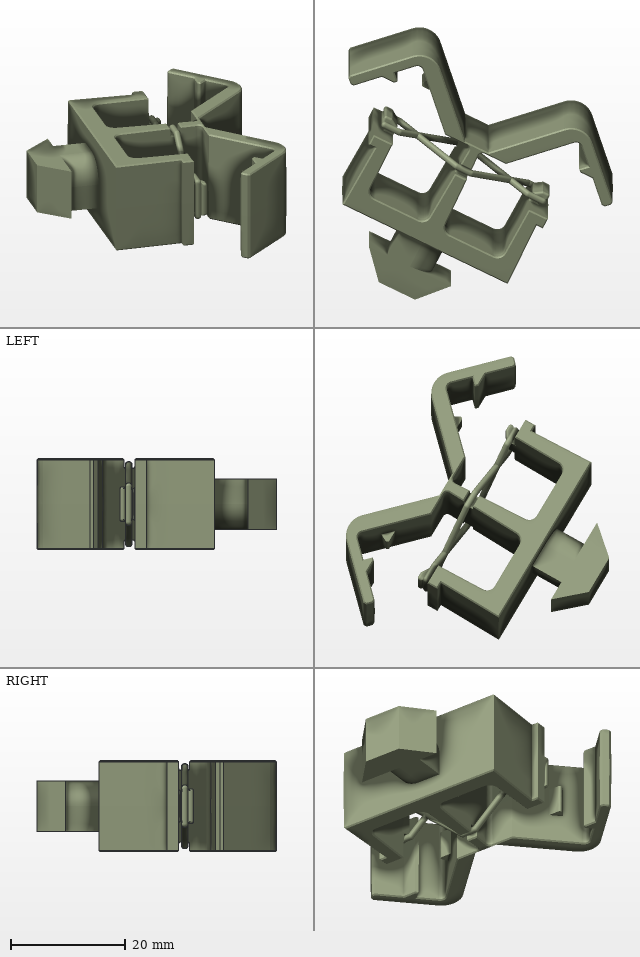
import cadquery as cq
import math

half_width = 25.85
height = 16.0
half_height = height / 2
edge_chamfer = 0.235
draft_angle = 0.3

base_half_width = 16.3
floor_y = 3.5
cup_corner_radius = 1.5
arm_top_y = 13.95
arm_outer_x = 15.95
arm_inner_x = 13.35
arm_inner_foot_x = 13.15
lip_half_width = 17.2
lip_thickness = 2.05
web_foot_x = 1.65
web_head_x = 1.0
web_fillet = 0.8

wing_bottom_y = 19.6
wing_bottom_x = 6.0
valley_y = 20.2
valley_x = 2.3
apex_top_y = 31.2
apex_outer_radius = 3.95
apex_inner_radius = 1.0
leg_thickness = 2.05
leg_end_fall = -4.6
tip_bottom_y = 20.45
tooth_bottom_y = 24.1
tooth_face_fall = 6.8
tooth_bevel = 1.0

nub_half_height = 2.65
nub_root_y = 26.0
nub_tip_x = 13.35
nub_bottom_y = 24.25
nub_radius = 0.4

band_diameter = 1.15
band_y = 15.05
band_edge_radius = 0.5
band_top_y = band_y + band_diameter / 2
neck_half_height = 6.3
notch_top_y = 15.9
notch_fillet = 0.3
hook_stem_x = 15.0
hook_half_height = 2.6
hook_top_y = 16.6
hook_tip_x = 16.25
hook_flat_x = 14.85
hook_flange = 0.45
hook_edge_radius = 0.4
hook_foot_flare = 0.3
hook_foot_thickness = 0.35
band_bend_x = 12.65
band_crown_x = 1.4

stem_radius = 4.45
shoulder_y = -5.85
head_end_y = -10.9
head_half_width = 8.05
head_end_half_width = 3.55


def diagonal_point(fall, rise):
    """Point where the lines x + y = fall and y - x = rise cross."""
    return ((fall - rise) / 2, (fall + rise) / 2)


def mirrored(points):
    """The points reflected in X = 0, in reverse order."""
    return [(-x, y) for x, y in reversed(points)]


def inset_corner(before, corner, after, inset):
    """Corner of a counterclockwise polygon moved inwards by inset from both its sides.

    Also returns the turn: positive at an outward corner, negative at a reentrant one.
    """
    heading_in = (cq.Vector(*corner) - cq.Vector(*before)).normalized()
    heading_out = (cq.Vector(*after) - cq.Vector(*corner)).normalized()
    turn = heading_in.cross(heading_out).z
    moved = cq.Vector(*corner) + (heading_out - heading_in) * (inset / turn)
    return moved, turn


def rounded_section(points, radii, inset=0.0, z=0.0):
    """Closed wire through points, moved inwards by inset, at height z.

    The points run counterclockwise; radii maps the rounded ones to their radius.
    """
    corners = []
    rounded = []
    for before, corner, after in zip(points[-1:] + points[:-1], points, points[1:] + points[:1]):
        moved, turn = inset_corner(before, corner, after, inset)
        corners.append(moved)
        if corner in radii:
            rounded.append((moved, radii[corner] - math.copysign(inset, turn)))
    wire = cq.Wire.makePolygon(corners, close=True)
    for moved, radius in rounded:
        vertex = min(wire.Vertices(), key=lambda v: (cq.Vector(*v.toTuple()) - moved).Length)
        wire = wire.fillet2D(radius, [vertex])
    return wire.translate(cq.Vector(0, 0, z))


wing_inner_fall = wing_bottom_y - wing_bottom_x
wing_outer_fall = valley_y - valley_x
apex_corner_y = apex_top_y + apex_outer_radius * (math.sqrt(2) - 1)
leg_outer_rise = 2 * apex_corner_y - wing_outer_fall
leg_inner_rise = leg_outer_rise - leg_thickness * math.sqrt(2)


def draft_inset(height):
    """How far a drafted side moves inwards from the mid plane up to height."""
    return height * math.tan(math.radians(draft_angle))


def mirrored_loft(sections):
    """Ruled solid through the sections, which start at Z = 0, and its mirror image below."""
    upper = cq.Workplane(cq.Solid.makeLoft(sections, True))
    return upper.union(upper.mirror("XY"))


def plate_outline(base_y):
    """Points of the cup, web and wings, and the radii of the rounded ones."""
    outer_apex = diagonal_point(wing_outer_fall, leg_outer_rise)
    inner_apex = diagonal_point(wing_inner_fall, leg_inner_rise)
    tooth_tip_x = tooth_face_fall - tooth_bottom_y - tooth_bevel
    tooth_corner = diagonal_point(tooth_face_fall, tooth_bottom_y - tooth_tip_x)
    web_head = (-web_head_x, wing_bottom_y)
    web_foot = (-web_foot_x, floor_y)
    arm_foot = (-arm_inner_foot_x, floor_y)
    lip_bottom_y = arm_top_y - lip_thickness
    left = [
        (-valley_x, valley_y),
        outer_apex,
        (-half_width, leg_outer_rise - half_width),
        (-half_width, leg_end_fall + half_width),
        (leg_end_fall - tip_bottom_y, tip_bottom_y),
        (tip_bottom_y - leg_inner_rise, tip_bottom_y),
        (tooth_bottom_y - leg_inner_rise, tooth_bottom_y),
        (tooth_tip_x, tooth_bottom_y),
        tooth_corner,
        diagonal_point(tooth_face_fall, leg_inner_rise),
        inner_apex,
        (-wing_bottom_x, wing_bottom_y),
        web_head,
        web_foot,
        arm_foot,
        (-arm_inner_x, arm_top_y),
        (-lip_half_width, arm_top_y),
        (-lip_half_width, lip_bottom_y),
        (-arm_outer_x, lip_bottom_y),
        (-base_half_width, base_y),
    ]
    left_radii = {
        outer_apex: apex_outer_radius,
        inner_apex: apex_inner_radius,
        web_head: web_fillet,
        web_foot: cup_corner_radius,
        arm_foot: cup_corner_radius,
    }
    right_radii = {(-x, y): radius for (x, y), radius in left_radii.items()}
    return left + mirrored(left), {**left_radii, **right_radii}


def holder_plate():
    """Cup, web and wings: all sides drafted but the mounting face, chamfered at both ends."""
    chamfer_z = half_height - edge_chamfer
    draft = draft_inset(chamfer_z)
    sections = [
        rounded_section(*plate_outline(0)),
        rounded_section(*plate_outline(-draft), draft, chamfer_z),
        rounded_section(*plate_outline(-draft), draft + edge_chamfer, half_height),
    ]
    return mirrored_loft(sections)


def latch_nub():
    """Short ramp on the inner face of the left wing, with its root inside the wing."""
    tip = (-nub_tip_x, nub_bottom_y)
    root_fall = (wing_inner_fall + wing_outer_fall) / 2
    outline = [
        (root_fall - nub_root_y, nub_root_y),
        (wing_inner_fall - nub_root_y, nub_root_y),
        tip,
        (root_fall - nub_bottom_y, nub_bottom_y),
    ]
    radii = {tip: nub_radius}
    inset = draft_inset(nub_half_height)
    return mirrored_loft([
        rounded_section(outline, radii),
        rounded_section(outline, radii, inset, nub_half_height),
    ])


def band_hook():
    """Stem on top of the left arm with a head that points outwards over the band."""
    stem_root_y = arm_top_y - lip_thickness / 2
    stem = (
        cq.Workplane("XY")
        .polyline([
            (-arm_inner_x, stem_root_y),
            (-arm_inner_x, band_top_y),
            (-hook_stem_x, band_top_y),
            (-hook_stem_x, stem_root_y),
        ])
        .close()
        .extrude(hook_half_height, both=True)
    )
    head = (
        cq.Workplane("XY")
        .polyline([
            (-arm_inner_x, band_top_y),
            (-hook_flat_x, hook_top_y),
            (-hook_tip_x, hook_top_y),
            (-hook_tip_x, band_top_y),
        ])
        .close()
        .extrude(hook_half_height + hook_flange, both=True)
        .edges("<X or ((>Z or <Z) exc <Y)").fillet(hook_edge_radius)
    )
    foot_length = hook_stem_x - arm_inner_x + hook_foot_flare
    foot_height = 2 * (hook_half_height + hook_foot_flare)
    foot_centre = (-arm_inner_x - foot_length / 2, arm_top_y + hook_foot_thickness / 2, 0)
    foot = (
        cq.Workplane("XY", origin=foot_centre)
        .box(foot_length, hook_foot_thickness, foot_height)
        .edges(">Y and (<X or |X)").chamfer(hook_foot_flare)
    )
    return stem.union(head).union(foot)


def band_notch():
    """Cutter that leaves the web lower where the band wraps around it."""
    rim_z = half_height - edge_chamfer
    profile = rounded_section(
        [
            (arm_top_y - edge_chamfer, half_height),
            (arm_top_y, rim_z),
            (arm_top_y, neck_half_height),
            (notch_top_y, neck_half_height),
            (notch_top_y, rim_z),
            (notch_top_y + edge_chamfer, half_height),
        ],
        {
            (arm_top_y, neck_half_height): notch_fillet,
            (notch_top_y, neck_half_height): notch_fillet,
        },
    )
    upright = cq.Plane.named("YZ").location
    notch = (
        cq.Workplane("YZ").add(profile.moved(upright)).toPending()
        .extrude(web_foot_x, both=True)
    )
    return notch.union(notch.mirror("XY"))


def t_head():
    """Quarter-turn fastener: a wedge on a stem rounded at two opposite corners."""
    wedge = (
        cq.Workplane("XY")
        .polyline([
            (-head_half_width, shoulder_y),
            (-head_end_half_width, head_end_y),
            (head_end_half_width, head_end_y),
            (head_half_width, shoulder_y),
        ])
        .close()
        .extrude(stem_radius, both=True)
    )
    stem = (
        cq.Workplane("XZ", origin=(0, floor_y / 2, 0))
        .moveTo(-stem_radius, 0)
        .lineTo(-stem_radius, stem_radius)
        .lineTo(0, stem_radius)
        .radiusArc((stem_radius, 0), stem_radius)
        .lineTo(stem_radius, -stem_radius)
        .lineTo(0, -stem_radius)
        .radiusArc((-stem_radius, 0), stem_radius)
        .close()
        .extrude(floor_y / 2 - shoulder_y)
    )
    return wedge.union(stem)


def make_holder():
    """Cup with wings, latch nubs, band hooks and T-head as one solid."""
    holder = holder_plate().cut(band_notch())
    for feature in (latch_nub(), band_hook()):
        holder = holder.union(feature).union(feature.mirror("YZ"))
    return holder.union(t_head())


def band_bar(start, end):
    """Straight round-ended stretch of the band between two (x, z) points."""
    run = end[0] - start[0]
    rise = end[1] - start[1]
    length = math.hypot(run, rise) + band_diameter
    slope = math.degrees(math.atan2(rise, run))
    centre = (start[0] + run / 2, band_y, start[1] + rise / 2)
    return (
        cq.Workplane("XZ", origin=centre)
        .slot2D(length, band_diameter, slope)
        .extrude(band_diameter / 2, both=True)
    )


def make_band():
    """Closed band around the web and both hooks that crosses itself on each side."""
    crown_z = neck_half_height + band_diameter / 2
    loop_z = hook_half_height + band_diameter / 2
    loop_x = hook_stem_x + band_diameter / 2
    path = [
        (-band_crown_x, crown_z),
        (band_crown_x, crown_z),
        (band_bend_x, -loop_z),
        (loop_x, -loop_z),
        (loop_x, loop_z),
        (band_bend_x, loop_z),
    ]
    path += [(-x, -z) for x, z in path]
    band = band_bar(path[-1], path[0])
    for start, end in zip(path, path[1:]):
        band = band.union(band_bar(start, end))
    return band.clean().faces("|Y").edges().fillet(band_edge_radius)


holder = make_holder()
band = make_band()
result = cq.Compound.makeCompound([holder.val(), band.val()])